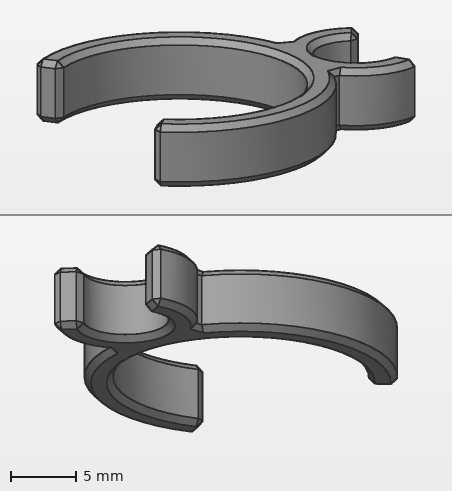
import cadquery as cq
import math

height = 5.0
wall = 2.2
large_bore_radius = 9.8
small_bore_radius = 3.3
bridge = 2.4
large_end_angle = 38.7
small_end_angle = 31.0
edge_chamfer = 0.5

large_outer_radius = large_bore_radius + wall
small_outer_radius = small_bore_radius + wall
small_center_y = large_bore_radius + bridge + small_bore_radius


def disc(radius, center_y):
    return cq.Workplane("XY").center(0, center_y).circle(radius).extrude(height)


def mouth(center_y, outer_radius, end_angle, direction):
    """Wedge from a clip centre that opens its ring towards +Y (1) or -Y (-1)."""
    reach = 2 * outer_radius
    half_width = reach * math.cos(math.radians(end_angle))
    edge_y = center_y + direction * reach * math.sin(math.radians(end_angle))
    far_y = center_y + direction * reach
    outline = [
        (0, center_y),
        (half_width, edge_y),
        (half_width, far_y),
        (-half_width, far_y),
        (-half_width, edge_y),
    ]
    return cq.Workplane("XY").polyline(outline).close().extrude(height)


def clip_body():
    """Two joined rings, each opened by its own mouth."""
    body = disc(large_outer_radius, 0).union(disc(small_outer_radius, small_center_y))
    body = body.cut(disc(large_bore_radius, 0))
    body = body.cut(disc(small_bore_radius, small_center_y))
    body = body.cut(mouth(0, large_outer_radius, large_end_angle, -1))
    return body.cut(mouth(small_center_y, small_outer_radius, small_end_angle, 1))


def chamfer_edges(body):
    """Chamfer every edge at once: flat-face rims, jaw corners and the concave notches."""
    return body.edges().chamfer(edge_chamfer)


result = chamfer_edges(clip_body())